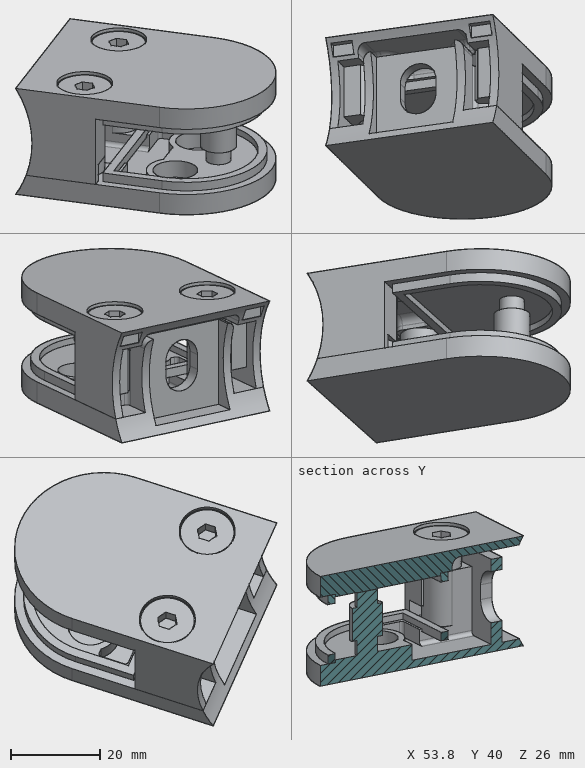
import cadquery as cq
import math

height = 26.0
width = 40.0
half_width = width / 2
center_z = height / 2
tube_radius = 24.0
saddle_depth = tube_radius - math.sqrt(tube_radius**2 - center_z**2)
straight_length = 30.0
arc_center_x = saddle_depth + straight_length

jaw_thickness = 5.0
slot_top = height - jaw_thickness
slot_back_x = 18.8
gasket_inset = 2.0
gasket_thickness = 2.1
gasket_rim = 2.0
gasket_front_x = 19.85
pad_height = 0.6

screw_x = 13.85
screw_y = 12.5
post_radius = 4.5
base_post_top = 18.0
shank_radius = 3.0
head_radius = 6.0
head_sink = 0.75
head_top = height - head_sink
cone_bottom = head_top - (head_radius - shank_radius)
head_recess_radius = 6.25
screw_bottom = 8.0
hex_flats = 4.0
hex_depth = 2.5

block_half_width = 12.0
block_top = 22.0
block_edge_radius = 2.0
plate_front_x = 5.65
plate_back_x = 8.65
floor_z = 1.9
pocket_half_width = 10.0
rail_inner_y = screw_y - post_radius
rail_fillet = 1.0
bolt_slot_width = 8.5
bolt_slot_length = 12.0

recess_fillet = 1.0
boss_y = 8.35
boss_radius = 6.5
boss_bore_radius = 5.0
boss_bore_bottom = 1.6
cross_pocket_front_x = 22.5
cross_pocket_back_x = 29.5
cross_pocket_half_width = 15.0
cross_pocket_corner = 0.8

pin_x = 41.3
pin_radius = 2.8
collar_radius = 4.05
collar_length = 7.9

cavity_half_width = 13.0
cavity_top = 24.0
cavity_fillet = 2.0
window_outer_y = 18.0
window_back_x = 6.35
window_corner = 1.0
shoulder_z = 9.0
label_length = 5.0
label_center_y = 16.5
label_bottom = 22.0
label_top = 24.8
label_back_x = 2.3


def block(x0, x1, y0, y1, z0, z1):
    """Box between opposite corner coordinates."""
    return cq.Workplane("XY").box(x1 - x0, y1 - y0, z1 - z0, centered=False).translate((x0, y0, z0))


def cylinder(x, y, radius, z0, z1):
    return cq.Workplane("XY", origin=(x, y, z0)).circle(radius).extrude(z1 - z0)


def rounded_end(front_x, radius, z0, z1):
    """Slab with straight sides and a half-round glass end about the outline's arc center."""
    return (
        cq.Workplane("XY", origin=(0, 0, z0))
        .moveTo(front_x, -radius)
        .lineTo(arc_center_x, -radius)
        .threePointArc((arc_center_x + radius, 0), (arc_center_x, radius))
        .lineTo(front_x, radius)
        .close()
        .extrude(z1 - z0)
    )


def tube():
    """Round tube that the saddle fits, running along Y, turned so its seam lies away from the clamp."""
    return (
        cq.Workplane("XZ", origin=(0, half_width, 0))
        .center(saddle_depth - tube_radius, center_z)
        .circle(tube_radius)
        .extrude(width)
        .rotateAboutCenter((0, 1, 0), 180)
    )


def both_sides(shape):
    """The shape joined by its mirror copy across the XZ plane."""
    return shape.union(shape.mirror("XZ"))


def gasket_pad(z0):
    """Raised pad that fills the opening of a gasket."""
    inner_radius = half_width - gasket_inset - gasket_rim
    return rounded_end(gasket_front_x + gasket_rim, inner_radius, z0, z0 + pad_height)


def screw_post_with_rail():
    """Base post on the +Y side, joined to the mounting block by a rail with a filleted outer corner."""
    post = cylinder(screw_x, screw_y, post_radius, floor_z, base_post_top)
    rail = block(plate_back_x, screw_x, rail_inner_y, block_half_width, jaw_thickness, base_post_top)
    reach = post_radius + rail_fillet
    fillet_y = block_half_width + rail_fillet
    fillet_x = screw_x - math.sqrt(reach**2 - (fillet_y - screw_y) ** 2)
    wall_end = (fillet_x, block_half_width)
    post_end = (
        screw_x + (fillet_x - screw_x) * post_radius / reach,
        screw_y + (fillet_y - screw_y) * post_radius / reach,
    )
    fillet = (
        cq.Workplane("XY", origin=(0, 0, jaw_thickness))
        .moveTo(*wall_end)
        .lineTo(screw_x, block_half_width)
        .lineTo(*post_end)
        .radiusArc(wall_end, rail_fillet)
        .close()
        .extrude(base_post_top - jaw_thickness)
    )
    return post.union(rail).union(fillet)


def base_recess():
    """Channel behind the mounting block, widened into a cross pocket around the two bored bosses."""
    pad_top = jaw_thickness + pad_height
    channel = (
        block(plate_back_x, cross_pocket_back_x, -rail_inner_y, rail_inner_y, floor_z, pad_top)
        .edges("|X and <Z")
        .fillet(recess_fillet)
    )
    cross_pocket = (
        block(cross_pocket_front_x, cross_pocket_back_x, -cross_pocket_half_width, cross_pocket_half_width,
              floor_z, pad_top)
        .edges("|Z")
        .fillet(cross_pocket_corner)
    )
    bosses = both_sides(cylinder(arc_center_x, boss_y, boss_radius, 0, pad_top))
    bores = both_sides(cylinder(arc_center_x, boss_y, boss_bore_radius, boss_bore_bottom, pad_top))
    return channel.union(cross_pocket).cut(bosses).union(bores)


def glass_pin():
    """Pin across the glass slot with a thicker collar at mid height."""
    shaft = cylinder(pin_x, 0, pin_radius, jaw_thickness, slot_top - pad_height)
    collar = cylinder(pin_x, 0, collar_radius, center_z - collar_length / 2, center_z + collar_length / 2)
    return shaft.union(collar)


def make_base():
    """Lower jaw with the mounting block, screw posts and glass pin."""
    mount = (
        block(0, plate_back_x, -block_half_width, block_half_width, 0, block_top)
        .edges("|X and >Z")
        .fillet(block_edge_radius)
    )
    mount_pocket = block(0, plate_front_x, -pocket_half_width, pocket_half_width, floor_z, block_top)
    bolt_slot = (
        cq.Workplane("YZ", origin=(0, 0, center_z))
        .slot2D(bolt_slot_length, bolt_slot_width, 90)
        .extrude(plate_back_x)
    )
    screw_holes = both_sides(cylinder(screw_x, screw_y, shank_radius, screw_bottom, base_post_top))
    return (
        rounded_end(0, half_width, 0, jaw_thickness)
        .union(gasket_pad(jaw_thickness))
        .cut(base_recess())
        .union(mount)
        .cut(mount_pocket)
        .cut(bolt_slot)
        .union(both_sides(screw_post_with_rail()))
        .cut(screw_holes)
        .union(glass_pin())
        .cut(tube())
    )


def cavity_roof():
    """Top of the cover's hollow, narrowed between the screws, with its corners rounded."""
    shoulder_x = screw_x - post_radius
    half_outline = (
        cq.Workplane("XY", origin=(0, 0, slot_top))
        .lineTo(0, cavity_half_width)
        .lineTo(shoulder_x - cavity_fillet, cavity_half_width)
        .radiusArc((shoulder_x, cavity_half_width - cavity_fillet), cavity_fillet)
        .lineTo(shoulder_x, rail_inner_y + cavity_fillet)
        .radiusArc((shoulder_x + cavity_fillet, rail_inner_y), -cavity_fillet)
        .lineTo(slot_back_x - cavity_fillet, rail_inner_y)
        .radiusArc((slot_back_x, rail_inner_y - cavity_fillet), cavity_fillet)
        .lineTo(slot_back_x, 0)
        .close()
    )
    return (
        both_sides(half_outline.extrude(cavity_top - slot_top))
        .faces(">Z")
        .edges("not <X")
        .fillet(cavity_fillet)
    )


def cover_cavity():
    """Hollow for the mounting block and base posts, open to the saddle, the base and the glass slot."""
    hollow = block(0, slot_back_x, -cavity_half_width, cavity_half_width, jaw_thickness, slot_top)
    cover_posts = both_sides(cylinder(screw_x, screw_y, post_radius, base_post_top, slot_top))
    post_sockets = both_sides(cylinder(screw_x, screw_y, post_radius, jaw_thickness, base_post_top))
    return hollow.cut(cover_posts).union(post_sockets).union(cavity_roof())


def side_window():
    """Opening beside the mounting block on the +Y side, with a low passage under its back wall."""
    lip_x = window_back_x + window_corner
    lip_y = cavity_half_width + window_corner
    window = (
        cq.Workplane("XY", origin=(0, 0, jaw_thickness))
        .moveTo(0, cavity_half_width)
        .lineTo(lip_x, cavity_half_width)
        .radiusArc((window_back_x, lip_y), -window_corner)
        .lineTo(window_back_x, window_outer_y)
        .lineTo(0, window_outer_y)
        .close()
        .extrude(slot_top - jaw_thickness)
    )
    passage = block(0, slot_back_x, cavity_half_width, window_outer_y, jaw_thickness, shoulder_z)
    return window.union(passage)


def screw_seat():
    """Countersunk through hole on the +Y side, its mouth slightly wider than the screw head."""
    return (
        cq.Workplane("XZ")
        .moveTo(0, base_post_top)
        .lineTo(shank_radius, base_post_top)
        .lineTo(shank_radius, cone_bottom)
        .lineTo(head_radius, head_top)
        .lineTo(head_recess_radius, head_top)
        .lineTo(head_recess_radius, height)
        .lineTo(0, height)
        .close()
        .revolve(360, (0, 0, 0), (0, 1, 0))
        .translate((screw_x, screw_y, 0))
    )


def make_cover():
    """Upper jaw with side walls that stand on the base around the mounting block."""
    side_walls = block(0, slot_back_x, -half_width, half_width, jaw_thickness, slot_top)
    label_recess = block(
        0, label_back_x, label_center_y - label_length / 2, label_center_y + label_length / 2,
        label_bottom, label_top,
    )
    return (
        rounded_end(0, half_width, slot_top, height)
        .union(gasket_pad(slot_top - pad_height))
        .union(side_walls)
        .cut(cover_cavity())
        .cut(both_sides(side_window()))
        .cut(both_sides(screw_seat()))
        .cut(both_sides(label_recess))
        .cut(tube())
    )


def make_gasket(z0):
    """Frame gasket that follows the jaw outline."""
    outer_radius = half_width - gasket_inset
    z1 = z0 + gasket_thickness
    opening = rounded_end(gasket_front_x + gasket_rim, outer_radius - gasket_rim, z0, z1)
    return rounded_end(gasket_front_x, outer_radius, z0, z1).cut(opening)


def make_screw(y):
    """Countersunk socket screw."""
    body = (
        cq.Workplane("XZ")
        .moveTo(0, screw_bottom)
        .lineTo(shank_radius, screw_bottom)
        .lineTo(shank_radius, cone_bottom)
        .lineTo(head_radius, head_top)
        .lineTo(0, head_top)
        .close()
        .revolve(360, (0, 0, 0), (0, 1, 0))
    )
    hex_corners = hex_flats / math.cos(math.pi / 6)
    socket = cq.Workplane("XY", origin=(0, 0, head_top)).polygon(6, hex_corners).extrude(-hex_depth)
    return body.cut(socket).translate((screw_x, y, 0))


base = make_base()
cover = make_cover()
gaskets = [make_gasket(z0) for z0 in (jaw_thickness, slot_top - gasket_thickness)]
screws = [make_screw(y) for y in (-screw_y, screw_y)]

result = cq.Compound.makeCompound(
    [base.val(), cover.val()] + [gasket.val() for gasket in gaskets] + [screw.val() for screw in screws]
)